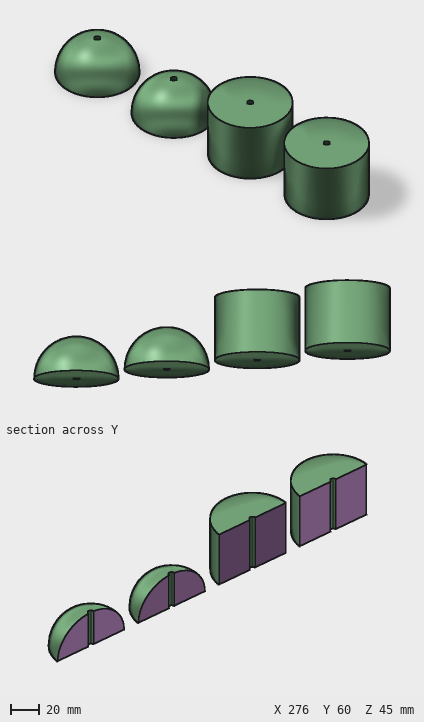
import cadquery as cq

row_length = 276.0
body_diameter = 60.0
cylinder_height = 45.0
bore_diameter = 4.5
domes = 2
cylinders = 2

body_radius = body_diameter / 2
pitch = (row_length - body_diameter) / (domes + cylinders - 1)


def drill_bore(body):
    """Cut the vertical bore right through a body centred on the Z axis."""
    bore = cq.Workplane("XY").circle(bore_diameter / 2).extrude(cylinder_height)
    return body.cut(bore)


def make_dome():
    """Solid hemisphere standing on its flat face, bored along its axis."""
    profile = (
        cq.Workplane("XZ")
        .lineTo(body_radius, 0)
        .radiusArc((0, body_radius), -body_radius)
        .close()
    )
    return drill_bore(profile.revolve(360, (0, 0), (0, 1)))


def make_cylinder():
    """Solid upright cylinder, bored along its axis."""
    return drill_bore(cq.Workplane("XY").circle(body_radius).extrude(cylinder_height))


def place_in_row(body, position):
    """Return the solid of a body moved to its numbered position along X."""
    return body.translate((body_radius + position * pitch, 0, 0)).solids().val()


dome_bodies = [place_in_row(make_dome(), i) for i in range(domes)]
cylinder_bodies = [place_in_row(make_cylinder(), domes + i) for i in range(cylinders)]

result = cq.Compound.makeCompound([*dome_bodies, *cylinder_bodies])